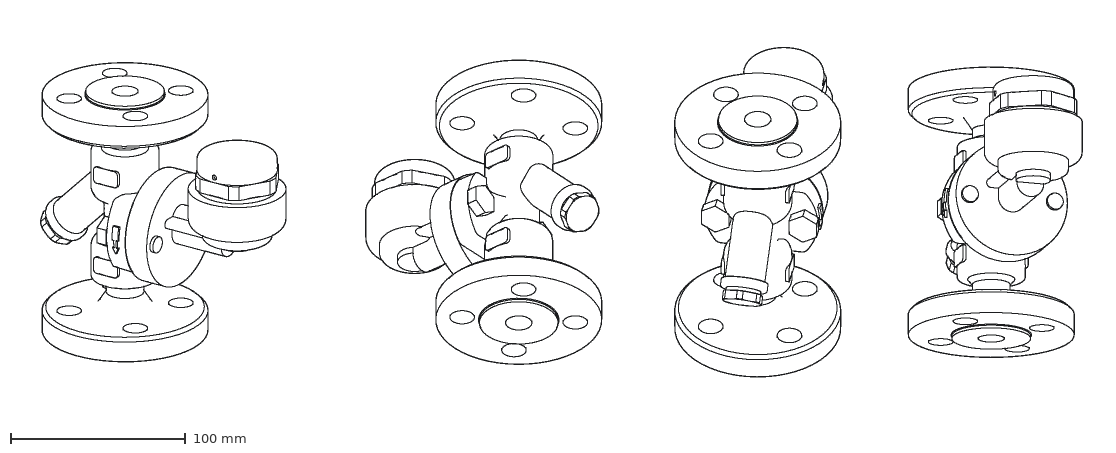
import cadquery as cq
import math

half_length = 75.0
raised_face_dia, raised_face_foot_dia = 45.0, 46.0
raised_face_height = 2.1
raised_face_foot_height = 0.5
flange_dia = 95.0
flange_thickness = 14.4
flange_chamfer = 2.1
bolt_hole_dia = 14.0
bolt_circle_dia = 64.9
bore_dia = 15.0
bore_depth = 35.5
hub_dia = 32.1
hub_fillet_dia = 39.0
hub_fillet_height = 1.6
neck_dia = 21.6
neck_outer_z = 49.0
neck_inner_z = 43.0
shoulder_dia = 27.0
body_dia = 39.0
body_end_z = 39.9
body_round = 1.6
waist_dia = 23.9
waist_z = -2.0
waist_half_height = 6.3
shoulder_half_height = 12.1
shoulder_mid_dia = 31.0
body_half_gap = 18.5

pad_width, pad_height, pad_corner = 16.5, 10.0, 2.1
pad_reach = 19.7
pad_heights = (28.3, -27.6)

branch_start_z = 27.0
branch_dia, branch_length = 23.0, 55.7
collar_dia, collar_start, collar_end, collar_round = 27.0, 54.4, 59.9, 1.1
plug_neck_dia = 20.0
plug_start, plug_end = 62.2, 67.3
plug_flats, plug_corner_dia = 21.6, 23.3
plug_chamfer = 0.6

cover_dia = 67.0
block_dia = 66.2
block_start_x, cover_start_x, cover_end_x = 10.0, 23.1, 38.1
block_half_height, block_taper_rise, block_round = 21.2, 0.8, 4.2
web_fillet = 4.8
bolt_offset_y = 25.5
bolt_head_flats, bolt_head_start_x = 16.0, 3.5
bolt_shank_dia, bolt_end_x = 9.5, 40.2
arrow_x, arrow_relief = 16.6, 1.3
arrow_half_width, arrow_shaft_half_width = 2.02, 0.8
arrow_top_z, arrow_shaft_z, arrow_head_z, arrow_tip_z = 6.3, -2.0, -6.6, -10.5

capsule_x = 77.8
cap_dia, cap_top_z, cap_round = 46.0, 54.5, 3.2
nut_top_z, nut_bottom_z = 44.5, 36.0
nut_flats, nut_corner_dia = 46.0, 50.0
capsule_neck_dia = 45.0
capsule_dia, capsule_top_z, capsule_bottom_z, capsule_round = 56.0, 33.0, 9.7, 5.2
base_dia, base_bottom_z, base_round = 40.4, 2.0, 2.9
boss_dia, boss_bottom_z = 19.7, -2.0
pin_hole_dia, pin_hole_depth, pin_hole_z = 2.9, 1.6, 47.8

arm_dia = 16.1
arm_upper_z = 5.3
arm_end_x = 72.3
bar_width, bar_height, bar_z = 30.2, 5.5, 6.1


def rod(plane, start, end, diameter):
    """Cylinder along the normal of a workplane."""
    return plane.workplane(offset=start).circle(diameter / 2).extrude(end - start)


def clipped_hexagon(plane, start, end, flats, corner_dia):
    """Hexagon whose corners are turned down to a circle."""
    across_corners = flats / math.cos(math.pi / 6)
    hexagon = plane.workplane(offset=start).polygon(6, across_corners).extrude(end - start)
    return hexagon.intersect(rod(plane, start, end, corner_dia))


def make_pipe_end():
    """Flange, hub and neck of the upper end, down to the body."""
    flange_top = half_length - raised_face_height
    flange_bottom = flange_top - flange_thickness
    return (
        cq.Workplane("XZ")
        .moveTo(0, half_length)
        .lineTo(raised_face_dia / 2, half_length)
        .lineTo(raised_face_dia / 2, flange_top + raised_face_foot_height)
        .lineTo(raised_face_foot_dia / 2, flange_top)
        .lineTo(flange_dia / 2, flange_top)
        .lineTo(flange_dia / 2, flange_bottom + flange_chamfer)
        .lineTo(flange_dia / 2 - flange_chamfer, flange_bottom)
        .lineTo(hub_fillet_dia / 2, flange_bottom)
        .tangentArcPoint((hub_dia / 2, flange_bottom - hub_fillet_height), relative=False)
        .lineTo(neck_dia / 2, neck_outer_z)
        .lineTo(neck_dia / 2, neck_inner_z)
        .lineTo(shoulder_dia / 2, body_end_z)
        .lineTo(0, body_end_z)
        .close()
        .revolve(360, (0, 0, 0), (0, 1, 0))
    )


def make_body():
    """Two round chambers joined by a narrow waist."""
    body_r = body_dia / 2
    waist_r = waist_dia / 2
    shoulder_r = shoulder_mid_dia / 2
    return (
        cq.Workplane("XZ")
        .moveTo(0, body_end_z)
        .lineTo(body_r - body_round, body_end_z)
        .tangentArcPoint((body_r, body_end_z - body_round), relative=False)
        .lineTo(body_r, waist_z + body_half_gap)
        .tangentArcPoint((shoulder_r, waist_z + shoulder_half_height), relative=False)
        .tangentArcPoint((waist_r, waist_z + waist_half_height), relative=False)
        .lineTo(waist_r, waist_z - waist_half_height)
        .tangentArcPoint((shoulder_r, waist_z - shoulder_half_height), relative=False)
        .tangentArcPoint((body_r, waist_z - body_half_gap), relative=False)
        .lineTo(body_r, -body_end_z + body_round)
        .tangentArcPoint((body_r - body_round, -body_end_z), relative=False)
        .lineTo(0, -body_end_z)
        .close()
        .revolve(360, (0, 0, 0), (0, 1, 0))
    )


def make_pads():
    """Rounded pads on the front and back of both chambers."""
    pads = cq.Workplane("XY")
    for height in pad_heights:
        pads = pads.union(
            cq.Workplane("XY")
            .box(pad_width, 2 * pad_reach, pad_height)
            .edges("|Y")
            .fillet(pad_corner)
            .translate((0, 0, height))
        )
    return pads


branch_plane = cq.Workplane(
    cq.Plane(origin=(0, 0, branch_start_z), xDir=(1, 0, -1), normal=(-1, 0, -1))
)


def make_branch_end():
    """Collar and screw plug closing the branch."""
    collar = rod(branch_plane, collar_start, collar_end, collar_dia).edges().fillet(collar_round)
    plug_neck = rod(branch_plane, collar_end - 1.6, plug_start + 1.6, plug_neck_dia)
    plug = clipped_hexagon(branch_plane, plug_start, plug_end, plug_flats, plug_corner_dia)
    plug_cone = (
        rod(branch_plane, plug_start, plug_end, plug_corner_dia + 2 * plug_chamfer)
        .faces("<(1, 0, 1)")
        .chamfer(plug_chamfer, 2 * plug_chamfer)
    )
    return collar.union(plug_neck).union(plug.intersect(plug_cone))


cover_plane = cq.Workplane(cq.Plane(origin=(0, 0, waist_z), xDir=(0, 1, 0), normal=(1, 0, 0)))


def make_block():
    """Round block behind the cover flange, with slightly tapered flats above and below."""
    taper_length = cover_start_x - block_start_x
    taper = math.degrees(math.atan(block_taper_rise / taper_length))
    slab = (
        cover_plane.workplane(offset=block_start_x)
        .rect(2 * block_dia, 2 * block_half_height)
        .extrude(taper_length, taper=-taper)
    )
    disc = rod(cover_plane, block_start_x, cover_start_x, block_dia)
    return disc.intersect(slab).edges("%ELLIPSE").fillet(block_round)


def make_web():
    """Neck joining the waist to the block, flaring out where it meets the block."""
    half_width = waist_dia / 2
    flare_half_width = half_width + web_fillet
    height = 2 * body_half_gap
    half_web = (
        cq.Workplane("XY", origin=(0, 0, waist_z - height / 2))
        .lineTo(0, half_width)
        .lineTo(block_start_x - web_fillet, half_width)
        .tangentArcPoint((block_start_x, flare_half_width), relative=False)
        .lineTo(cover_start_x, flare_half_width)
        .lineTo(cover_start_x, 0)
        .close()
        .extrude(height)
    )
    return half_web.union(half_web.mirror("XZ"))


def make_cover_bolts():
    """Hexagon heads behind the block and shank ends in front of the cover."""
    bolts = cq.Workplane("XY")
    across_corners = bolt_head_flats / math.cos(math.pi / 6)
    for side in (-1, 1):
        seat = cq.Workplane(
            cq.Plane(origin=(0, side * bolt_offset_y, waist_z), xDir=(0, 0, 1), normal=(1, 0, 0))
        )
        head = (
            seat.workplane(offset=bolt_head_start_x)
            .polygon(6, across_corners)
            .extrude(block_start_x - bolt_head_start_x)
        )
        bolts = bolts.union(head).union(rod(seat, block_start_x, bolt_end_x, bolt_shank_dia))
    return bolts


def make_flow_arrow():
    """Raised arrow pointing down on the front of the block."""
    arrow = (
        cq.Workplane("XZ")
        .moveTo(arrow_x - arrow_half_width, arrow_top_z)
        .lineTo(arrow_x + arrow_half_width, arrow_top_z)
        .lineTo(arrow_x + arrow_half_width, arrow_shaft_z)
        .lineTo(arrow_x + arrow_shaft_half_width, arrow_shaft_z)
        .lineTo(arrow_x + arrow_shaft_half_width, arrow_head_z)
        .lineTo(arrow_x + arrow_half_width, arrow_head_z)
        .lineTo(arrow_x, arrow_tip_z)
        .lineTo(arrow_x - arrow_half_width, arrow_head_z)
        .lineTo(arrow_x - arrow_shaft_half_width, arrow_head_z)
        .lineTo(arrow_x - arrow_shaft_half_width, arrow_shaft_z)
        .lineTo(arrow_x - arrow_half_width, arrow_shaft_z)
        .close()
        .extrude(block_dia)
    )
    skin = rod(cover_plane, block_start_x, cover_start_x, block_dia + 2 * arrow_relief)
    return arrow.intersect(skin)


def make_capsule():
    """Stepped round capsule with a hexagon nut under its cap."""
    axis = cq.Workplane("XY", origin=(capsule_x, 0, 0))
    cap = rod(axis, nut_top_z, cap_top_z, cap_dia).faces(">Z").edges().fillet(cap_round)
    pin_hole = (
        cq.Workplane("XZ", origin=(capsule_x, -cap_dia / 2 + pin_hole_depth, pin_hole_z))
        .circle(pin_hole_dia / 2)
        .extrude(2 * pin_hole_depth)
    )
    nut = clipped_hexagon(axis, nut_bottom_z, nut_top_z, nut_flats, nut_corner_dia)
    neck = rod(axis, capsule_top_z, nut_bottom_z, capsule_neck_dia)
    case = rod(axis, capsule_bottom_z, capsule_top_z, capsule_dia)
    case = case.faces("<Z").edges().fillet(capsule_round)
    base = rod(axis, base_bottom_z, capsule_bottom_z, base_dia)
    base = base.faces("<Z").edges().fillet(base_round)
    boss = rod(axis, boss_bottom_z, base_bottom_z, boss_dia)
    return cap.cut(pin_hole).union(nut).union(neck).union(case).union(base).union(boss)


def make_arm():
    """Tall rounded arm with a flat crossbar, from the cover to the capsule."""
    arm_length = arm_end_x - cover_end_x
    upper_rise = arm_upper_z - waist_z
    arm = (
        cover_plane.workplane(offset=cover_end_x)
        .center(0, upper_rise / 2)
        .slot2D(upper_rise + arm_dia, arm_dia, 90)
        .extrude(arm_length)
    )
    bar = (
        cover_plane.workplane(offset=cover_end_x)
        .center(0, bar_z - waist_z)
        .slot2D(bar_width, bar_height)
        .extrude(capsule_x - cover_end_x)
    )
    return arm.union(bar)


def make_bolt_holes():
    """Four holes through the lower pipe flange."""
    return (
        cq.Workplane("XY", origin=(0, 0, -half_length))
        .polarArray(bolt_circle_dia / 2, 45, 360, 4)
        .circle(bolt_hole_dia / 2)
        .extrude(flange_thickness + raised_face_height)
    )


upper_end = make_pipe_end()
upper_bore = rod(cq.Workplane("XY"), half_length - bore_depth, half_length, bore_dia)
lower_holes = make_bolt_holes()

result = make_body()
for feature in (
    rod(branch_plane, 0, branch_length, branch_dia),
    make_branch_end(),
    make_pads(),
    make_web(),
    make_block(),
    rod(cover_plane, cover_start_x, cover_end_x, cover_dia),
    make_cover_bolts(),
    make_flow_arrow(),
    make_arm(),
    make_capsule(),
    upper_end,
    upper_end.mirror("XY"),
):
    result = result.union(feature)

for cutter in (upper_bore, lower_holes):
    result = result.cut(cutter).cut(cutter.mirror("XY"))